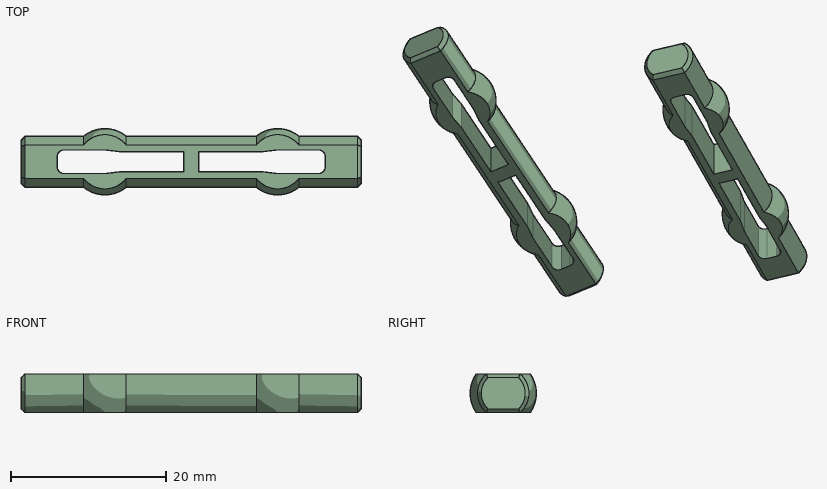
import cadquery as cq

length = 43.75
thickness = 5.0
rod_diameter = 6.6
end_chamfer = 0.5

ball_diameter = 8.58
ball_offset = 11.1

web_width = 1.95
slot_outer_end = 17.25
slot_wide_width = 3.0
slot_narrow_width = 2.55
slot_corner_radius = 0.88
taper_length = 2.0


def make_bar():
    """Flattened rod along X with both ends chamfered all round."""
    rod = cq.Workplane("YZ").circle(rod_diameter / 2).extrude(length / 2, both=True)
    flats = cq.Workplane("XY").box(length, rod_diameter, thickness)
    return rod.intersect(flats).faces("<X or >X").chamfer(end_chamfer)


def make_ball(x):
    """Sphere on the rod axis, cut flush with the flats of the bar."""
    ball = cq.Workplane("XY").sphere(ball_diameter / 2)
    flats = cq.Workplane("XY").box(ball_diameter, ball_diameter, thickness)
    return ball.intersect(flats).translate((x, 0, 0))


def make_slot():
    """Cutter for the +X slot: narrow by the web, widening to full width at the ball centre."""
    inner_end = web_width / 2
    taper_start = ball_offset - taper_length
    narrow_half = slot_narrow_width / 2
    wide_half = slot_wide_width / 2
    upper_edge = [
        (inner_end, narrow_half),
        (taper_start, narrow_half),
        (ball_offset, wide_half),
        (slot_outer_end, wide_half),
    ]
    lower_edge = [(x, -y) for x, y in reversed(upper_edge)]
    cutter = cq.Workplane("XY").polyline(upper_edge + lower_edge).close().extrude(thickness / 2, both=True)
    return cutter.faces(">X").edges("|Z").fillet(slot_corner_radius)


result = make_bar()
for ball_x in (-ball_offset, ball_offset):
    result = result.union(make_ball(ball_x))

slot = make_slot()
result = result.cut(slot).cut(slot.mirror("YZ"))